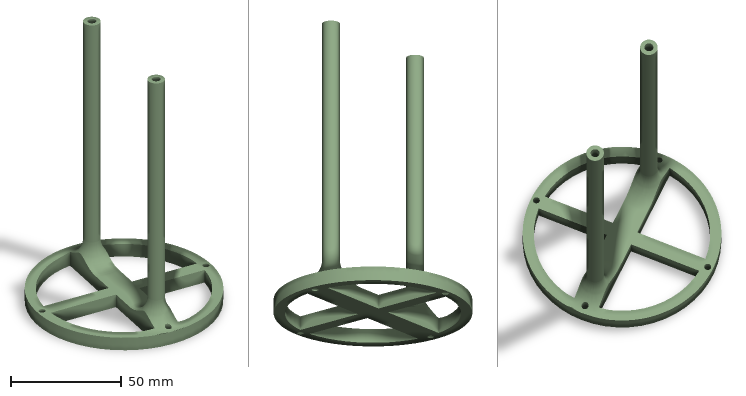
import cadquery as cq

outer_diameter = 90.0
inner_diameter = 79.9
base_thickness = 6.5
wide_bar_width = 12.0
narrow_bar_width = 6.8

total_height = 131.0
post_offset = 30.0
post_diameter = 8.0
bore_diameter = 4.0
bore_depth = 20.0
flare_radius = 11.0

hole_diameter = 3.1
hole_offset_x = 41.3
hole_offset_y = 42.5


def wheel(height):
    """Ring with two crossing bars, standing on the XY plane."""
    disc = cq.Workplane("XY").circle(outer_diameter / 2).extrude(height)
    opening = cq.Workplane("XY").circle(inner_diameter / 2).extrude(height)
    wide_bar = cq.Workplane("XY").rect(outer_diameter, wide_bar_width).extrude(height)
    narrow_bar = cq.Workplane("XY").rect(narrow_bar_width, outer_diameter).extrude(height)
    return disc.cut(opening.cut(wide_bar).cut(narrow_bar))


def flare(x):
    """Concave foot that spreads from the post down to the base."""
    post_radius = post_diameter / 2
    foot_radius = post_radius + flare_radius
    flare_top = base_thickness + flare_radius
    profile = (
        cq.Workplane("XZ")
        .moveTo(0, 0)
        .lineTo(foot_radius, 0)
        .lineTo(foot_radius, base_thickness)
        .radiusArc((post_radius, flare_top), flare_radius)
        .lineTo(0, flare_top)
        .close()
    )
    return profile.revolve(360, (0, 0, 0), (0, 1, 0)).translate((x, 0, 0))


def post(x):
    return cq.Workplane("XY").center(x, 0).circle(post_diameter / 2).extrude(total_height)


def bore(x):
    """Blind bore from the top of a post."""
    top = cq.Workplane("XY", origin=(x, 0, total_height))
    return top.circle(bore_diameter / 2).extrude(-bore_depth)


result = wheel(base_thickness)

flare_limit = wheel(total_height)
for post_x in (-post_offset, post_offset):
    result = result.union(flare(post_x).intersect(flare_limit))
    result = result.union(post(post_x)).cut(bore(post_x))

hole_centers = [
    (-hole_offset_x, 0),
    (hole_offset_x, 0),
    (0, -hole_offset_y),
    (0, hole_offset_y),
]
holes = (
    cq.Workplane("XY")
    .pushPoints(hole_centers)
    .circle(hole_diameter / 2)
    .extrude(total_height)
)
result = result.cut(holes)